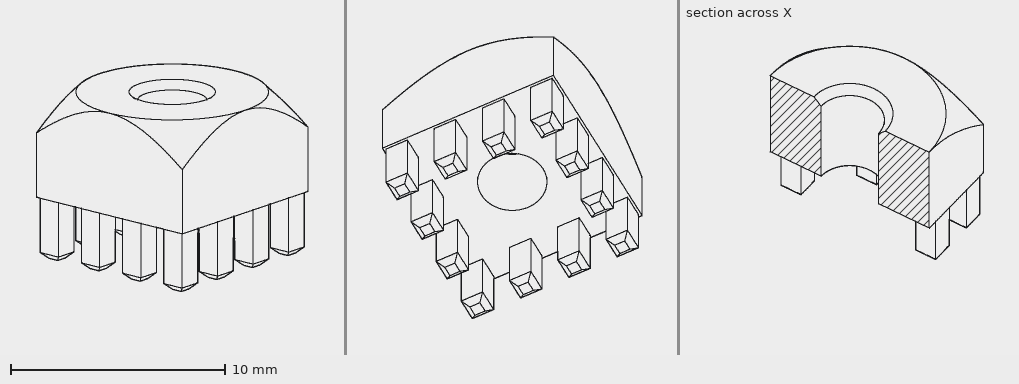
import cadquery as cq

body_width = 9.0
body_height = 5.0

hole_diameter = 3.24
countersink_diameter = 4.04
countersink_angle = 90

pin_pitch = 2.54
pins_per_side = 4
pin_width = 1.13
pin_length = 3.0
pin_chamfer = 0.3


def make_body():
    """Square block whose top corners are cut by a 45 degree cone."""
    block = cq.Workplane("XY").box(body_width, body_width, body_height, centered=(True, True, False))
    top_radius = body_width / 2
    bottom_radius = top_radius + body_height
    cone = cq.Workplane("XY").add(cq.Solid.makeCone(bottom_radius, top_radius, body_height))
    return block.intersect(cone)


def cut_hole(body):
    """Cut the through hole with its countersink."""
    return body.faces(">Z").workplane().cskHole(hole_diameter, countersink_diameter, countersink_angle)


def pin_centers():
    """Centres of the outermost positions of a square pin grid."""
    last = pins_per_side - 1
    centers = []
    for column in range(pins_per_side):
        for row in range(pins_per_side):
            if column in (0, last) or row in (0, last):
                centers.append(((column - last / 2) * pin_pitch, (row - last / 2) * pin_pitch))
    return centers


def make_pins():
    """Pins hanging from the underside, with chamfered tips."""
    pins = cq.Workplane("XY").pushPoints(pin_centers()).rect(pin_width, pin_width).extrude(-pin_length)
    return pins.faces("<Z").chamfer(pin_chamfer)


result = cut_hole(make_body()).union(make_pins())